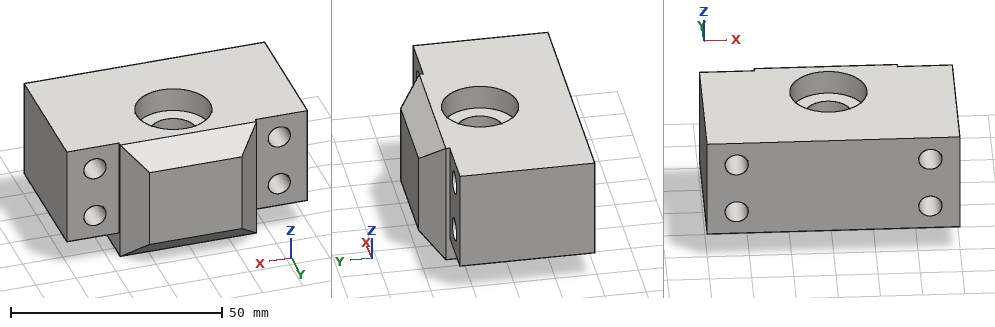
import cadquery as cq

body_length = 60.0
body_depth = 32.5
body_height = 25.0

boss_width = 34.0
boss_drop = 6.0
boss_overhang = 6.5
boss_front = 4.9
boss_bevel = 5.5

bore_y = 22.0
bore_diameter = 11.0
counterbore_diameter = 18.3
counterbore_depth = 6.0

mount_diameter = 5.5
mount_spacing_x = 45.95
mount_spacing_z = 13.0
mount_top_margin = 6.0


def make_body():
    return cq.Workplane("XY").box(body_length, body_depth, body_height, centered=(True, False, False))


def make_boss():
    """Block with bevels around its rear face and along its lower front edge."""
    block_depth = body_depth + boss_overhang - boss_front
    block_height = body_height + boss_drop
    block = (
        cq.Workplane("XY")
        .box(boss_width, block_depth, block_height, centered=(True, False, False))
        .translate((0, boss_front, -boss_drop))
    )
    block = block.faces(">Y").chamfer(boss_bevel)
    return block.faces("<Y").edges("<Z").chamfer(boss_bevel)


def make_stepped_bore():
    through_length = body_height + boss_drop
    bore = (
        cq.Workplane("XY", origin=(0, bore_y, -boss_drop))
        .circle(bore_diameter / 2)
        .extrude(through_length)
    )
    counterbore = (
        cq.Workplane("XY", origin=(0, bore_y, body_height))
        .circle(counterbore_diameter / 2)
        .extrude(-counterbore_depth)
    )
    return bore.union(counterbore)


def make_mount_holes():
    pattern_z = body_height - mount_top_margin - mount_spacing_z / 2
    return (
        cq.Workplane("XZ", origin=(0, 0, pattern_z))
        .rarray(mount_spacing_x, mount_spacing_z, 2, 2)
        .circle(mount_diameter / 2)
        .extrude(-body_depth)
    )


result = make_body().union(make_boss()).cut(make_stepped_bore()).cut(make_mount_holes())